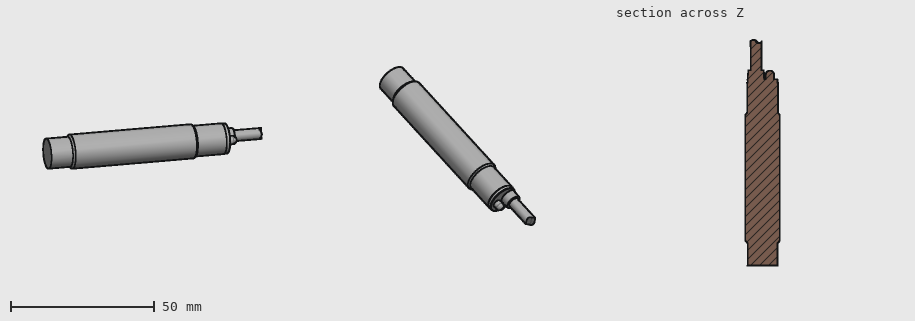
import cadquery as cq
import math

total_length = 78.5
barrel_diameter = 12.0
barrel_radius = barrel_diameter / 2
nose_radius = 10.6 / 2
tail_radius = 10.8 / 2
cap_radius = 10.6 / 2
front_chamfer_length = 0.8
rear_chamfer_length = 0.6
cap_chamfer = 0.15
front_y = -total_length / 2
nose_length = 7.8
barrel_end_y = 13.8
cap_start_y = 24.25
cap_end_y = 25.6

cable_x = -2.3
cable_radius = 3.9 / 2
collar_base_radius = 5.8 / 2
collar_shoulder_radius = 5.6 / 2
collar_tip_radius = 5.4 / 2
collar_tip_length = 0.4
collar_end_y = 28.7
cable_end_y = total_length / 2

break_tilt = 9.0
break_arc_height = 0.55

lamp_x = 2.6
lamp_radius = 3.0 / 2
lamp_straight_end_y = 27.1


def cylinder(x, radius, start_y, end_y):
    """Cylinder along +Y at the given X."""
    plane = cq.Plane(origin=(x, start_y, 0), xDir=(1, 0, 0), normal=(0, 1, 0))
    return cq.Workplane(plane).circle(radius).extrude(end_y - start_y)


def make_body():
    nose_end_y = front_y + nose_length
    barrel = (
        cq.Workplane("XY")
        .moveTo(0, nose_end_y)
        .lineTo(nose_radius, nose_end_y)
        .lineTo(barrel_radius, nose_end_y + front_chamfer_length)
        .lineTo(barrel_radius, barrel_end_y - rear_chamfer_length)
        .lineTo(tail_radius, barrel_end_y)
        .lineTo(0, barrel_end_y)
        .close()
        .revolve(360, (0, 0, 0), (0, 1, 0))
    )
    nose = cylinder(0, nose_radius, front_y, nose_end_y)
    tail = cylinder(0, tail_radius, barrel_end_y, cap_start_y)
    cap = cylinder(0, cap_radius, cap_start_y, cap_end_y).faces(">Y").chamfer(cap_chamfer)
    return barrel.union(nose).union(tail).union(cap)


def make_collar():
    """Tapered round collar with a steeper lead-in next to the cable."""
    profile = (
        cq.Workplane("XY", origin=(cable_x, 0, 0))
        .moveTo(0, cap_end_y)
        .lineTo(collar_base_radius, cap_end_y)
        .lineTo(collar_shoulder_radius, collar_end_y - collar_tip_length)
        .lineTo(collar_tip_radius, collar_end_y)
        .lineTo(0, collar_end_y)
        .close()
    )
    return profile.revolve(360, (0, 0, 0), (0, 1, 0))


def make_cable():
    """Cable trimmed by an S-shaped curve swept straight across its end."""
    base_y = cable_end_y - break_arc_height
    tilt = math.radians(break_tilt)
    plane = cq.Plane(
        origin=(cable_x, 0, 0),
        xDir=(math.cos(tilt), 0, math.sin(tilt)),
        normal=(-math.sin(tilt), 0, math.cos(tilt)),
    )
    trim = (
        cq.Workplane(plane)
        .moveTo(-cable_radius, cap_end_y)
        .lineTo(-cable_radius, base_y)
        .threePointArc((-cable_radius / 2, cable_end_y), (0, base_y))
        .threePointArc((cable_radius / 2, base_y - break_arc_height), (cable_radius, base_y))
        .lineTo(cable_radius, cap_end_y)
        .close()
        .extrude(cable_radius, both=True)
    )
    return cylinder(cable_x, cable_radius, cap_end_y, cable_end_y).intersect(trim)


def make_lamp():
    pin = cylinder(lamp_x, lamp_radius, cap_end_y, lamp_straight_end_y)
    tip = cq.Workplane("XY").sphere(lamp_radius).translate((lamp_x, lamp_straight_end_y, 0))
    return pin.union(tip)


result = make_body().union(make_collar()).union(make_cable()).union(make_lamp())